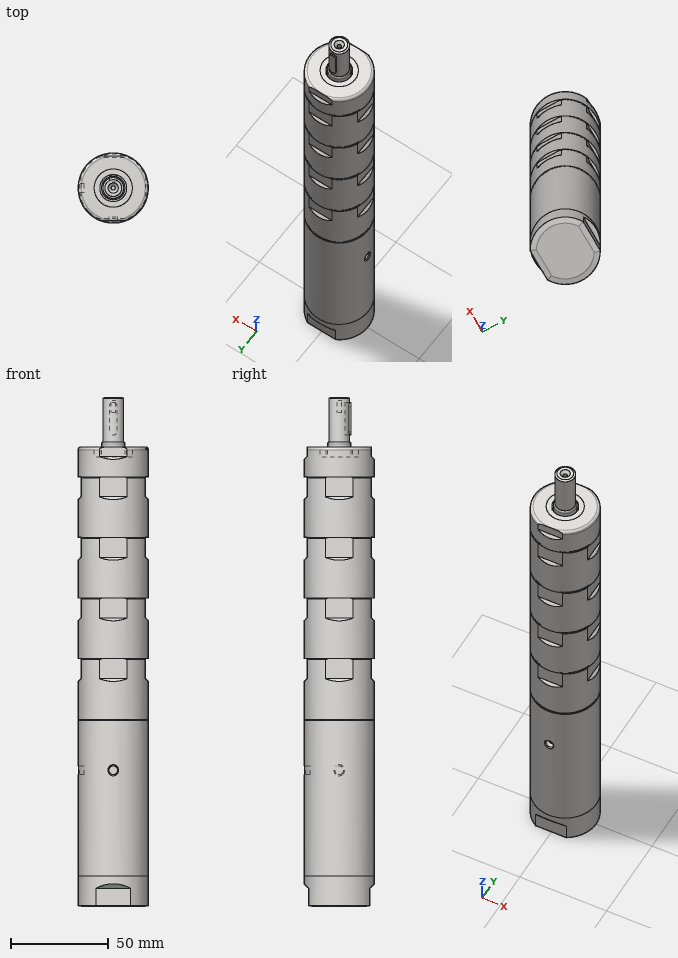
import cadquery as cq
import math

overall_length = 260.0
body_diameter = 36.0
body_radius = body_diameter / 2
stage_count = 4
end_cap_height = 15.5
motor_length = 80.0
stage_length = 31.0
front_cap_height = 15.3

motor_bottom = end_cap_height
stages_bottom = motor_bottom + motor_length
front_cap_bottom = stages_bottom + stage_count * stage_length
front_cap_top = front_cap_bottom + front_cap_height

wrench_flat_depth = 1.48
wrench_flat_offset = body_radius - wrench_flat_depth
stage_flat_height = 10.1
front_cap_flat_height = 5.0
end_cap_flat_depth = 2.3
end_cap_flat_offset = body_radius - end_cap_flat_depth
end_cap_flat_height = 9.4

front_cap_edge_radius = 1.5
section_chamfer = 0.5
end_cap_chamfer_width = 3.0
end_cap_chamfer_height = 0.5

motor_hole_diameter = 4.5
motor_hole_depth = 3.0
motor_hole_chamfer = 0.65
motor_hole_height = 69.7

shaft_diameter = 10.7
collar_diameter = 12.0
collar_height = 2.9
collar_top = front_cap_top + collar_height
collar_edge_radius = 1.5
shaft_tip_chamfer_width = 1.0
shaft_tip_chamfer_height = 0.5
center_hole_diameter = 2.0
center_hole_depth = 7.8
center_hole_chamfer = 1.5
seal_outer_diameter = 19.5
seal_inner_diameter = 13.8
seal_depth = 5.2

key_width = 4.0
key_length = 16.6
key_top_gap = 2.5
key_height = 3.0
key_protrusion = 0.8


def cylinder(diameter, bottom, height):
    """Solid cylinder on the Z axis."""
    return cq.Workplane("XY").workplane(offset=bottom).circle(diameter / 2).extrude(height)


def flat_cutter(offset, open_end, inner_end, angle):
    """Wedge that mills one flat facing -Y, turned by angle about Z.

    The flat is open at open_end and runs out at inner_end with a 45 degree slope.
    """
    reach = body_radius
    slope = math.copysign(reach, inner_end - open_end)
    profile = [
        (-offset, open_end),
        (-offset, inner_end),
        (-offset - reach, inner_end + slope),
        (-offset - reach, open_end),
    ]
    wedge = cq.Workplane("YZ").polyline(profile).close().extrude(body_radius, both=True)
    return wedge.rotate((0, 0, 0), (0, 0, 1), angle)


def end_cap_bevel_cutter(angle):
    """Prism that bevels the bottom edge of one end cap flat, turned by angle about Z."""
    profile = [
        (-end_cap_flat_offset, 0),
        (-end_cap_flat_offset, end_cap_chamfer_height),
        (-end_cap_flat_offset + end_cap_chamfer_width, 0),
    ]
    prism = cq.Workplane("YZ").polyline(profile).close().extrude(body_radius, both=True)
    return prism.rotate((0, 0, 0), (0, 0, 1), angle)


def make_end_cap():
    """Bottom cap with two opposite flats and a shallow bevel around its bottom edge."""
    cap = cylinder(body_diameter, 0, end_cap_height)
    cap = cap.faces("<Z").edges().chamfer(end_cap_chamfer_height, end_cap_chamfer_width)
    for angle in (0, 180):
        cap = cap.cut(flat_cutter(end_cap_flat_offset, 0, end_cap_flat_height, angle))
        cap = cap.cut(end_cap_bevel_cutter(angle))
    return cap


def make_motor_housing():
    """Long cylinder with chamfered blind holes on the -Y and -X sides."""
    housing = cylinder(body_diameter, motor_bottom, motor_length)
    housing = housing.faces(">Z").edges().chamfer(section_chamfer)
    hole_radius = motor_hole_diameter / 2
    mouth_radius = hole_radius + motor_hole_chamfer
    hole_floor = body_radius - motor_hole_depth
    chamfer_start = body_radius - motor_hole_chamfer
    profile = [
        (0, -hole_floor),
        (hole_radius, -hole_floor),
        (hole_radius, -chamfer_start),
        (mouth_radius, -body_radius),
        (0, -body_radius),
    ]
    hole = cq.Workplane("XY").polyline(profile).close().revolve(360, (0, 0), (0, 1))
    hole = hole.translate((0, 0, motor_hole_height))
    for angle in (0, -90):
        housing = housing.cut(hole.rotate((0, 0, 0), (0, 0, 1), angle))
    return housing


def make_stage(index):
    """Gear stage with four flats below its upper face."""
    bottom = stages_bottom + index * stage_length
    top = bottom + stage_length
    stage = cylinder(body_diameter, bottom, stage_length)
    stage = stage.faces(">Z").edges().chamfer(section_chamfer)
    for angle in (0, 90, 180, 270):
        stage = stage.cut(flat_cutter(wrench_flat_offset, top, top - stage_flat_height, angle))
    return stage


def make_front_cap():
    """Top cap with a rounded rim, two flats and a seat for the seal and the shaft."""
    cap = cylinder(body_diameter, front_cap_bottom, front_cap_height)
    cap = cap.faces(">Z").edges().fillet(front_cap_edge_radius)
    flat_end = front_cap_top - front_cap_flat_height
    for angle in (0, 180):
        cap = cap.cut(flat_cutter(wrench_flat_offset, front_cap_top, flat_end, angle))
    return cap.cut(cylinder(seal_outer_diameter, front_cap_top - seal_depth, seal_depth))


def make_seal():
    """Flush ring around the shaft collar."""
    bottom = front_cap_top - seal_depth
    ring = cylinder(seal_outer_diameter, bottom, seal_depth)
    return ring.cut(cylinder(seal_inner_diameter, bottom, seal_depth))


def make_key():
    """Round-ended key standing out of the +Y side of the shaft."""
    key_outer_y = shaft_diameter / 2 + key_protrusion
    key_middle = overall_length - key_top_gap - key_length / 2
    key = cq.Workplane("XZ").slot2D(key_length, key_width, 90).extrude(key_height)
    return key.translate((0, key_outer_y, key_middle))


def make_shaft(key):
    """Stepped shaft with a center hole in its tip and a keyway."""
    bottom = front_cap_top - seal_depth
    collar = cylinder(collar_diameter, bottom, collar_top - bottom)
    collar = collar.faces(">Z").edges().fillet(collar_edge_radius)
    shaft = cylinder(shaft_diameter, bottom, overall_length - bottom)
    shaft = shaft.faces(">Z").edges().chamfer(shaft_tip_chamfer_height, shaft_tip_chamfer_width)
    shaft = shaft.union(collar)
    center_hole = cylinder(center_hole_diameter, overall_length - center_hole_depth, center_hole_depth)
    mouth_bottom = overall_length - center_hole_chamfer
    mouth = cq.Workplane("XY").workplane(offset=mouth_bottom).circle(center_hole_diameter / 2)
    mouth = mouth.workplane(offset=center_hole_chamfer)
    mouth = mouth.circle(center_hole_diameter / 2 + center_hole_chamfer).loft()
    shaft = shaft.cut(center_hole).cut(mouth)
    return shaft.cut(key)


end_cap = make_end_cap()
motor_housing = make_motor_housing()
stages = [make_stage(index) for index in range(stage_count)]
front_cap = make_front_cap()
seal = make_seal()
key = make_key()
shaft = make_shaft(key)

result = cq.Compound.makeCompound([
    end_cap.val(),
    motor_housing.val(),
    *[stage.val() for stage in stages],
    front_cap.val(),
    seal.val(),
    key.val(),
    shaft.val(),
])